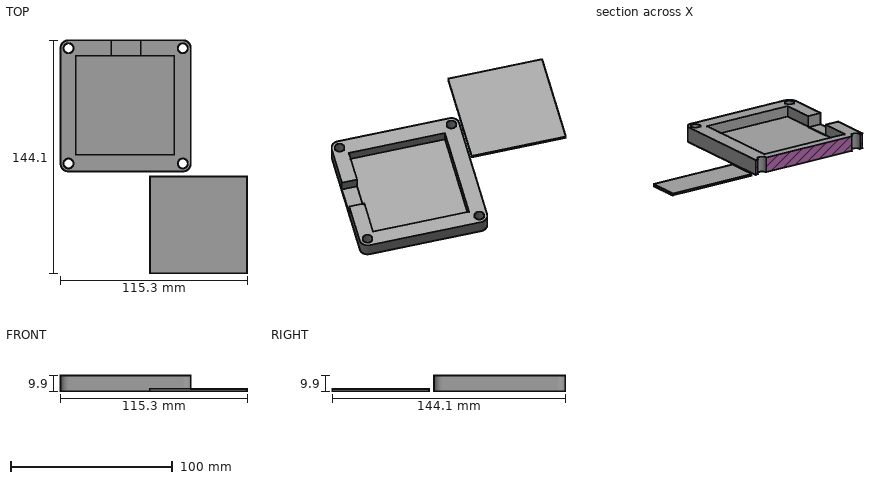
import cadquery as cq

total_x = 115.3
total_y = 144.1

housing_length = 80.6
housing_width = 81.2
housing_height = 9.9
corner_radius = 5.0

pocket_length = 61.0
pocket_width = 61.2
pocket_center_x = -0.4
pocket_center_y = 0.4
pocket_floor_height = 3.0

notch_width = 18.5
notch_center_x = 0.2
notch_floor_height = 2.5

hole_diameter = 6.0
hole_inset = corner_radius
hole_spacing_x = housing_length - 2 * hole_inset
hole_spacing_y = housing_width - 2 * hole_inset

cover_side = 60.0
cover_thickness = 1.5
cover_center_x = -housing_length / 2 + total_x - cover_side / 2
cover_center_y = housing_width / 2 - total_y + cover_side / 2


def block(size_x, size_y, bottom, top, center=(0, 0)):
    """Upright box between two heights, centred on a point in plan."""
    base = cq.Workplane("XY").workplane(offset=bottom).center(*center)
    return base.rect(size_x, size_y).extrude(top - bottom)


def make_pocket():
    pocket_center = (pocket_center_x, pocket_center_y)
    return block(pocket_length, pocket_width, pocket_floor_height, housing_height, pocket_center)


def make_notch():
    inner_y = pocket_center_y + pocket_width / 2
    outer_y = housing_width / 2
    notch_center = (notch_center_x, (inner_y + outer_y) / 2)
    return block(notch_width, outer_y - inner_y, notch_floor_height, housing_height, notch_center)


def make_screw_holes():
    return (
        cq.Workplane("XY")
        .rect(hole_spacing_x, hole_spacing_y, forConstruction=True)
        .vertices()
        .circle(hole_diameter / 2)
        .extrude(housing_height)
    )


def make_housing():
    body = block(housing_length, housing_width, 0, housing_height)
    body = body.edges("|Z").fillet(corner_radius)
    return body.cut(make_pocket()).cut(make_notch()).cut(make_screw_holes())


def make_cover():
    return block(cover_side, cover_side, 0, cover_thickness, (cover_center_x, cover_center_y))


housing = make_housing()
cover = make_cover()

result = cq.Compound.makeCompound([housing.val(), cover.val()])